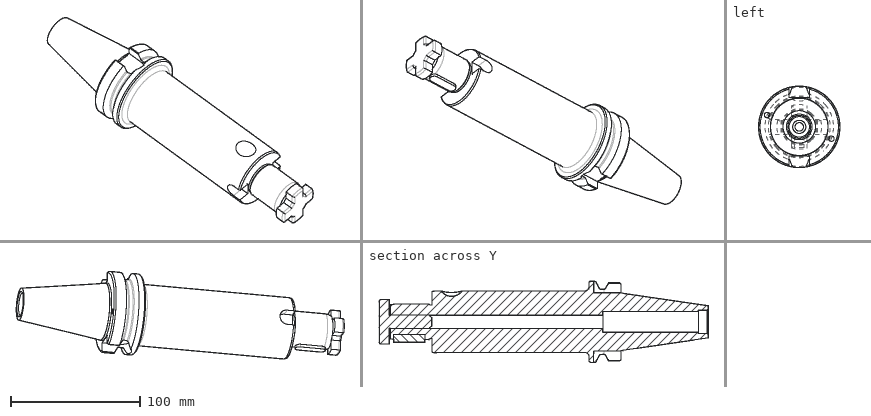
import cadquery as cq
import math

taper_length = 66.0
taper_large_radius = 22.1
taper_rate = 7 / 48
taper_small_radius = taper_large_radius - taper_rate * taper_length

collar_radius = 22.5
flange_start = 67.5
flange_end = 92.3
flange_radius = 31.5
flange_front_chamfer = 1.3
flange_rear_chamfer = 1.0
groove_floor_radius = 26.5
groove_floor_start = 80.0
groove_floor_end = 84.0
groove_fillet = 1.0
groove_side_run = (flange_radius - groove_floor_radius) * math.tan(math.radians(30))

keyway_width = 16.0
keyway_end = 88.5
keyway_floor_height = 22.6
keyway_edge_chamfer = 0.8

port_radius = 2.0
port_y = 25.0
port_z = 9.2
port_depth = 12.7
port_tilt = 15.0

body_radius = 24.0
body_end = 213.7
body_end_chamfer = 1.5
body_end_chamfer_depth = 0.5
flange_fillet = 3.0

drive_slot_width = 11.7
drive_slot_start = 201.2
drive_slot_floor = 14.2

dimple_x = 198.5
dimple_z = 30.0
dimple_radius = 10.2

arbor_radius = 14.0
arbor_end = 246.0
arbor_lead_length = 4.3
arbor_lead_drop = 0.8
relief_radius = 13.2
relief_end = body_end + 2.3

bore_mouth_radius = 9.0
bore_mouth_chamfer = 1.0
bore_mouth_depth = 7.6
bore_radius = 8.0
bore_depth = 81.5
inner_bore_radius = 5.0

key_start = 219.0
key_end = 243.2
key_width = 7.0
key_bottom = -15.8
key_seat = -10.0

total_length = 254.5
screw_head_start = 246.5
screw_head_radius = 17.3
screw_head_fillet = 1.5
screw_lug_width = 11.7
screw_core_radius = 10.5
screw_tail_start = 213.7
screw_tail_chamfer = 1.8


def axial_cylinder(radius, start, end):
    return cq.Workplane("YZ", origin=(start, 0, 0)).circle(radius).extrude(end - start)


def turned_blank():
    arc_middle = flange_fillet * (1 - math.cos(math.radians(45)))
    return (
        cq.Workplane("XZ")
        .moveTo(0, 0)
        .lineTo(0, taper_small_radius)
        .lineTo(taper_length, taper_large_radius)
        .lineTo(taper_length, collar_radius)
        .lineTo(flange_start, collar_radius)
        .lineTo(flange_start, flange_radius - flange_front_chamfer)
        .lineTo(flange_start + flange_front_chamfer, flange_radius)
        .lineTo(groove_floor_start - groove_side_run, flange_radius)
        .lineTo(groove_floor_start, groove_floor_radius)
        .lineTo(groove_floor_end, groove_floor_radius)
        .lineTo(groove_floor_end + groove_side_run, flange_radius)
        .lineTo(flange_end - flange_rear_chamfer, flange_radius)
        .lineTo(flange_end, flange_radius - flange_rear_chamfer)
        .lineTo(flange_end, body_radius + flange_fillet)
        .threePointArc(
            (flange_end + arc_middle, body_radius + arc_middle),
            (flange_end + flange_fillet, body_radius),
        )
        .lineTo(body_end - body_end_chamfer, body_radius)
        .lineTo(body_end, body_radius - body_end_chamfer_depth)
        .lineTo(body_end, relief_radius)
        .lineTo(relief_end - (arbor_radius - relief_radius), relief_radius)
        .lineTo(relief_end, arbor_radius)
        .lineTo(arbor_end - arbor_lead_length, arbor_radius)
        .lineTo(arbor_end, arbor_radius - arbor_lead_drop)
        .lineTo(arbor_end, 0)
        .close()
        .revolve(360, (0, 0, 0), (1, 0, 0))
    )


def groove_corners():
    """Selector box holding only the two edges of the groove floor."""
    return cq.selectors.BoxSelector(
        (groove_floor_start - groove_fillet, -groove_floor_radius, -groove_floor_radius),
        (groove_floor_end + groove_fillet, groove_floor_radius, groove_floor_radius),
        boundingbox=False,
    )


def keyway():
    radius = keyway_width / 2
    slot = (
        cq.Workplane("XY", origin=(0, 0, keyway_floor_height))
        .moveTo(taper_length, -radius)
        .lineTo(keyway_end - radius, -radius)
        .threePointArc((keyway_end, 0), (keyway_end - radius, radius))
        .lineTo(taper_length, radius)
        .close()
        .extrude(flange_radius)
    )
    outer_edge = math.sqrt(flange_radius**2 - radius**2)
    flare_radius = radius + 2 * keyway_edge_chamfer
    flare = (
        cq.Workplane("YZ", origin=(flange_start, 0, 0))
        .moveTo(-radius, outer_edge - keyway_edge_chamfer)
        .lineTo(radius, outer_edge - keyway_edge_chamfer)
        .lineTo(flare_radius, outer_edge + keyway_edge_chamfer)
        .lineTo(-flare_radius, outer_edge + keyway_edge_chamfer)
        .close()
        .extrude(groove_floor_start - flange_start)
    )
    return slot.union(flare)


def drive_slot():
    radius = drive_slot_width / 2
    return (
        cq.Workplane("XZ", origin=(0, -drive_slot_floor, 0))
        .moveTo(body_end, -radius)
        .lineTo(drive_slot_start + radius, -radius)
        .threePointArc((drive_slot_start, 0), (drive_slot_start + radius, radius))
        .lineTo(body_end, radius)
        .close()
        .extrude(body_radius)
    )


def coolant_port():
    tilt = math.radians(port_tilt)
    reach = math.hypot(port_y, port_z)
    direction = cq.Vector(
        math.cos(tilt), -math.sin(tilt) * port_y / reach, -math.sin(tilt) * port_z / reach
    )
    mouth = cq.Vector(flange_start, port_y, port_z)
    start = mouth - direction * port_radius
    return cq.Workplane(cq.Solid.makeCylinder(port_radius, port_depth + port_radius, start, direction))


def stepped_bore():
    return (
        cq.Workplane("XZ")
        .moveTo(0, 0)
        .lineTo(0, bore_mouth_radius + bore_mouth_chamfer)
        .lineTo(bore_mouth_chamfer, bore_mouth_radius)
        .lineTo(bore_mouth_depth, bore_mouth_radius)
        .lineTo(bore_mouth_depth, bore_radius)
        .lineTo(bore_depth, bore_radius)
        .lineTo(bore_depth, inner_bore_radius)
        .lineTo(arbor_end, inner_bore_radius)
        .lineTo(arbor_end, 0)
        .close()
        .revolve(360, (0, 0, 0), (1, 0, 0))
    )


def make_key():
    length = key_end - key_start
    return (
        cq.Workplane("XY", origin=((key_start + key_end) / 2, 0, key_bottom))
        .slot2D(length, key_width)
        .extrude(key_seat - key_bottom)
    )


def make_holder():
    holder = turned_blank().edges(groove_corners()).fillet(groove_fillet).cut(stepped_bore())
    for turn in (0, 180):
        holder = holder.cut(keyway().rotate((0, 0, 0), (1, 0, 0), turn))
        holder = holder.cut(drive_slot().rotate((0, 0, 0), (1, 0, 0), turn))
        holder = holder.cut(coolant_port().rotate((0, 0, 0), (1, 0, 0), turn))
    dimple = cq.Workplane("XY", origin=(dimple_x, 0, dimple_z)).sphere(dimple_radius)
    return holder.cut(dimple).cut(make_key())


def make_screw():
    cross = axial_cylinder(screw_core_radius, screw_head_start, total_length)
    for turn in (0, 90):
        bar = (
            cq.Workplane("YZ", origin=(screw_head_start, 0, 0))
            .rect(2 * screw_head_radius, screw_lug_width)
            .extrude(total_length - screw_head_start)
        )
        cross = cross.union(bar.rotate((0, 0, 0), (1, 0, 0), turn))
    head = axial_cylinder(screw_head_radius, screw_head_start, total_length).intersect(cross)
    head = head.faces(">X").edges().fillet(screw_head_fillet)
    shank = axial_cylinder(inner_bore_radius, screw_tail_start, screw_head_start)
    return head.union(shank.faces("<X").chamfer(screw_tail_chamfer))


holder = make_holder()
key = make_key()
screw = make_screw()
result = cq.Compound.makeCompound([holder.val(), key.val(), screw.val()])